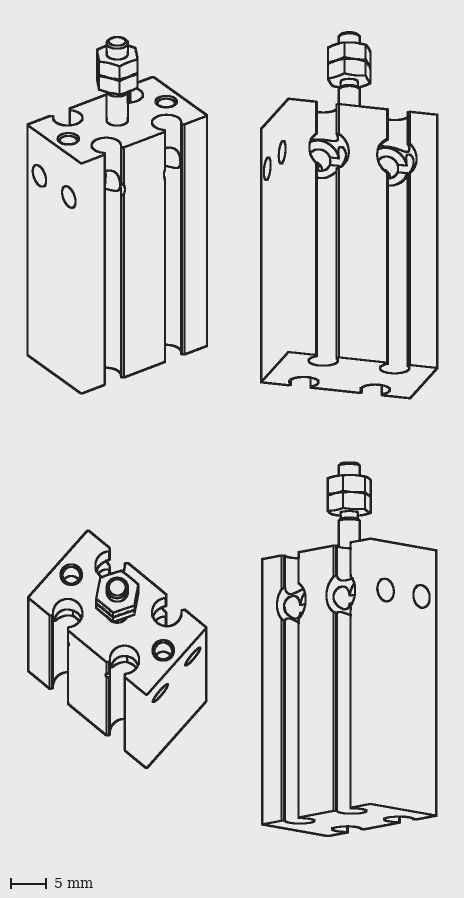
import cadquery as cq
import math

WIDTH = 13.0
DEPTH = 22.0
TOTAL_HEIGHT = 51.0
HOUSING_HEIGHT = 38.0
CORNER_RADIUS = 0.13

GROOVE_DIAMETER = 4.15
GROOVE_X = 4.6
GROOVE_Y = 5.25
MOUTH_WIDTH = 2.9
MOUTH_CHAMFER = 0.25

MOUNT_HOLE_DIAMETER = 3.2
MOUNT_HOLE_DROP = 7.0
SIDE_HOLE_Y = 5.0
FRONT_HOLE_X = 3.5
COUNTERBORE_DIAMETER = 5.8
COUNTERBORE_DEPTH = 4.5

TAPPED_DIAMETER = 2.45
TAPPED_MOUTH_DIAMETER = 3.0
TAPPED_DEPTH = 5.0
TAPPED_Y = 8.5

ROD_DIAMETER = 3.0
NECK_DIAMETER = 2.4
SHOULDER_HEIGHT = 5.1
ROD_CHAMFER = (ROD_DIAMETER - NECK_DIAMETER) / 2

NUT_COUNT = 2
NUT_SIDES = 6
NUT_START = 6.0
NUT_THICKNESS = 2.45
NUT_ACROSS_FLATS = 5.45
NUT_FACE_DIAMETER = 5.4
NUT_CHAMFER_ANGLE = 15.0


def cylinder(diameter, length, start, direction):
    """Solid cylinder running from the centre of its start face along a direction."""
    solid = cq.Solid.makeCylinder(diameter / 2, length, cq.Vector(*start), cq.Vector(*direction))
    return cq.Workplane(solid)


def make_groove(x_side, y_side):
    """Round vertical channel with a straight mouth that flares at the outer face."""
    round_channel = cylinder(
        GROOVE_DIAMETER, HOUSING_HEIGHT, (x_side * GROOVE_X, y_side * GROOVE_Y, 0), (0, 0, 1)
    )
    face_x = WIDTH / 2
    half_mouth = MOUTH_WIDTH / 2
    half_flare = half_mouth + MOUTH_CHAMFER
    half_profile = [
        (GROOVE_X, half_mouth),
        (face_x - MOUTH_CHAMFER, half_mouth),
        (face_x, half_flare),
    ]
    profile = half_profile + [(x, -y) for x, y in reversed(half_profile)]
    mouth = (
        cq.Workplane("XY")
        .polyline([(x_side * x, y_side * GROOVE_Y + y) for x, y in profile])
        .close()
        .extrude(HOUSING_HEIGHT)
    )
    return round_channel.union(mouth)


def make_side_hole(y):
    """Through hole along X, counterbored from the -X face."""
    z = HOUSING_HEIGHT - MOUNT_HOLE_DROP
    start = (-WIDTH / 2, y, z)
    hole = cylinder(MOUNT_HOLE_DIAMETER, WIDTH, start, (1, 0, 0))
    return hole.union(cylinder(COUNTERBORE_DIAMETER, COUNTERBORE_DEPTH, start, (1, 0, 0)))


def make_front_hole(x):
    """Plain through hole along Y."""
    z = HOUSING_HEIGHT - MOUNT_HOLE_DROP
    return cylinder(MOUNT_HOLE_DIAMETER, DEPTH, (x, -DEPTH / 2, z), (0, 1, 0))


def make_tapped_hole(y):
    """Blind hole in the top face with a 45 degree countersunk mouth."""
    hole = cylinder(TAPPED_DIAMETER, TAPPED_DEPTH, (0, y, HOUSING_HEIGHT), (0, 0, -1))
    countersink_depth = (TAPPED_MOUTH_DIAMETER - TAPPED_DIAMETER) / 2
    countersink = cq.Solid.makeCone(
        TAPPED_MOUTH_DIAMETER / 2,
        TAPPED_DIAMETER / 2,
        countersink_depth,
        cq.Vector(0, y, HOUSING_HEIGHT),
        cq.Vector(0, 0, -1),
    )
    return hole.union(cq.Workplane(countersink))


def make_housing():
    housing = (
        cq.Workplane("XY")
        .rect(WIDTH, DEPTH)
        .extrude(HOUSING_HEIGHT)
        .edges("|Z")
        .fillet(CORNER_RADIUS)
    )
    for side in (-1, 1):
        for x_side in (-1, 1):
            housing = housing.cut(make_groove(x_side, side))
        housing = housing.cut(make_side_hole(side * SIDE_HOLE_Y))
        housing = housing.cut(make_front_hole(side * FRONT_HOLE_X))
        housing = housing.cut(make_tapped_hole(side * TAPPED_Y))
    return housing.solids()


def make_nut(base_z):
    """Hexagon with corners toward +Y and -Y, chamfered on both ends."""
    across_corners = NUT_ACROSS_FLATS / math.cos(math.pi / NUT_SIDES)
    hexagon = (
        cq.Workplane("XY", origin=(0, 0, base_z))
        .transformed(rotate=(0, 0, 90))
        .polygon(NUT_SIDES, across_corners)
        .extrude(NUT_THICKNESS)
    )
    face_radius = NUT_FACE_DIAMETER / 2
    corner_radius = across_corners / 2
    chamfer_height = (corner_radius - face_radius) * math.tan(math.radians(NUT_CHAMFER_ANGLE))
    top_z = base_z + NUT_THICKNESS
    envelope = (
        cq.Workplane("XZ")
        .polyline(
            [
                (0, base_z),
                (face_radius, base_z),
                (corner_radius, base_z + chamfer_height),
                (corner_radius, top_z - chamfer_height),
                (face_radius, top_z),
                (0, top_z),
            ]
        )
        .close()
        .revolve()
    )
    return hexagon.intersect(envelope)


def make_rod():
    """Stepped rod standing on the housing, in one piece with its lock nuts."""
    rod_radius = ROD_DIAMETER / 2
    neck_radius = NECK_DIAMETER / 2
    shoulder_z = HOUSING_HEIGHT + SHOULDER_HEIGHT
    neck_end_z = HOUSING_HEIGHT + NUT_START
    rod = (
        cq.Workplane("XZ")
        .polyline(
            [
                (0, HOUSING_HEIGHT),
                (rod_radius, HOUSING_HEIGHT),
                (rod_radius, shoulder_z - ROD_CHAMFER),
                (neck_radius, shoulder_z),
                (neck_radius, neck_end_z),
                (rod_radius, neck_end_z),
                (rod_radius, TOTAL_HEIGHT - ROD_CHAMFER),
                (neck_radius, TOTAL_HEIGHT),
                (0, TOTAL_HEIGHT),
            ]
        )
        .close()
        .revolve()
    )
    for index in range(NUT_COUNT):
        rod = rod.union(make_nut(neck_end_z + index * NUT_THICKNESS))
    return rod.solids()


housing = make_housing()
rod = make_rod()

result = cq.Compound.makeCompound([housing.val(), rod.val()])